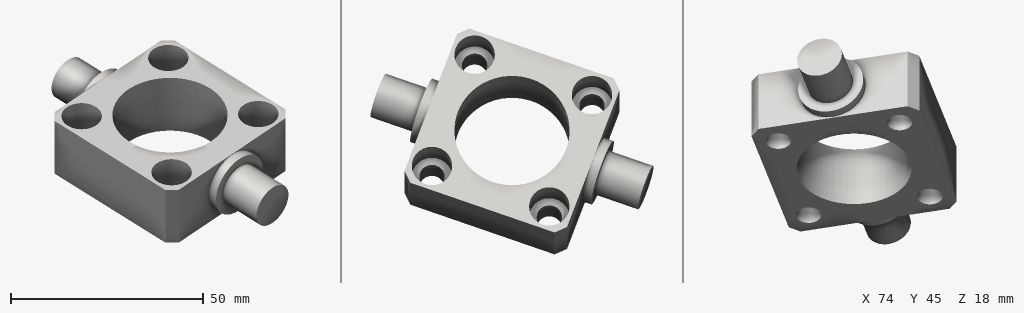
import cadquery as cq

body_side = 45.0
body_height = 18.0
corner_chamfer = 2.5
bore_diameter = 30.0

overall_length = 74.0
trunnion_diameter = 12.0
collar_span = 50.0
collar_diameter = 17.5

hole_spacing = 32.5
hole_diameter = 6.6
counterbore_diameter = 10.5
counterbore_depth = body_height / 2


def x_cylinder(diameter, length):
    """Cylinder on the X axis, centred on the origin."""
    return cq.Workplane("YZ").circle(diameter / 2).extrude(length / 2, both=True)


body = cq.Workplane("XY").box(body_side, body_side, body_height)
body = body.edges("|Z").chamfer(corner_chamfer)

body = body.union(x_cylinder(collar_diameter, collar_span))
body = body.union(x_cylinder(trunnion_diameter, overall_length))

bore = cq.Workplane("XY", origin=(0, 0, -body_height / 2)).circle(bore_diameter / 2).extrude(body_height)
body = body.cut(bore)

result = (
    body.faces(">Z")
    .workplane(origin=(0, 0, body_height / 2))
    .rect(hole_spacing, hole_spacing, forConstruction=True)
    .vertices()
    .cboreHole(hole_diameter, counterbore_diameter, counterbore_depth)
)